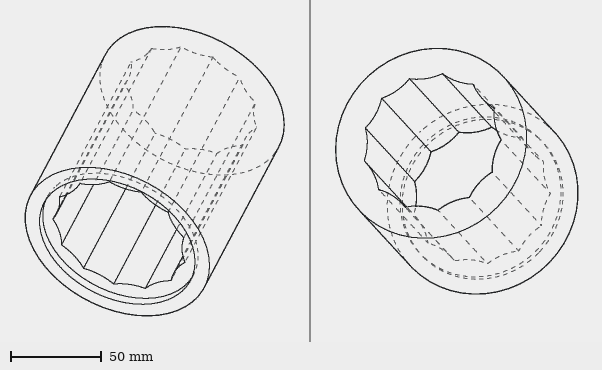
import cadquery as cq
import math

length = 118.8
outer_diameter = 108.7
recess_diameter = 91.6
recess_depth = 5.0

scallop_count = 13
cusp_radius = 39.3
scallop_rise = 1.4
first_cusp_angle = 126.5
bore_center_x = -0.5
bore_center_z = 0.6

scallop_pitch = 360.0 / scallop_count
half_pitch = math.radians(scallop_pitch / 2)
crest_radius = cusp_radius * math.cos(half_pitch) - scallop_rise


def bore_point(radius, angle):
    """Point in the XZ section, at a polar position about the bore axis."""
    turn = math.radians(angle)
    return (
        bore_center_x + radius * math.cos(turn),
        bore_center_z + radius * math.sin(turn),
    )


def cylinder_from_front(diameter, depth):
    """Cylinder on the sleeve axis, running back from the front face."""
    return cq.Workplane("XZ").circle(diameter / 2).extrude(-depth)


def scalloped_bore():
    """Through cutter bounded by the ring of inward arcs."""
    outline = cq.Workplane("XZ").moveTo(*bore_point(cusp_radius, first_cusp_angle))
    for index in range(scallop_count):
        start_angle = first_cusp_angle + index * scallop_pitch
        crest = bore_point(crest_radius, start_angle + scallop_pitch / 2)
        next_cusp = bore_point(cusp_radius, start_angle + scallop_pitch)
        outline = outline.threePointArc(crest, next_cusp)
    return outline.close().extrude(-length)


sleeve = cylinder_from_front(outer_diameter, length)
recess = cylinder_from_front(recess_diameter, recess_depth)
result = sleeve.cut(scalloped_bore()).cut(recess)